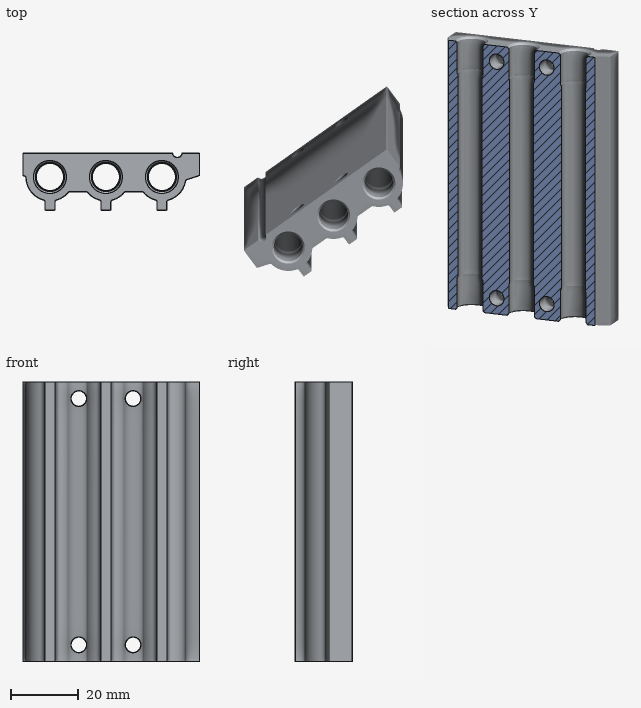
import cadquery as cq
import math

width = 52.1
depth = 16.8
length = 82.5
back_y = depth / 2

bore_pitch = 16.5
bore_offset = 7.0
bore_diameter = 8.0
port_diameter = 8.6
port_depth = 9.9
port_chamfer = 0.6
middle_bore_x = -1.6
bore_y = back_y - bore_offset
bore_xs = [middle_bore_x + step * bore_pitch for step in (-1, 0, 1)]

lobe_radius = 7.1
lobe_root_height = 1.65
web_depth = 11.4
side_depth = 6.6
lip_angle = 18.0
lip_inset = 2.5

rib_width = 3.0
rib_tip_radius = 0.25

corner_radius = 0.25
root_radius = 0.5

cross_diameter = 4.5
cross_pitch_x = 16.0
cross_end_distance = 4.95

groove_radius = 1.4
groove_axis_behind = 0.2
groove_x = 19.5


def prism(sketch):
    return sketch.extrude(length)


def slab():
    """Flat slab that carries the lobes, its underside sloping from each side into an end lobe."""
    left, right = -width / 2, width / 2
    side_y = back_y - side_depth
    web_y = back_y - web_depth
    slope = math.tan(math.radians(lip_angle))
    left_lip_x = bore_xs[0] - lobe_radius + lip_inset
    right_lip_x = bore_xs[2] + lobe_radius - lip_inset
    outline = [
        (left, back_y),
        (right, back_y),
        (right, side_y),
        (right_lip_x, side_y - slope * (right - right_lip_x)),
        (bore_xs[2], web_y),
        (bore_xs[0], web_y),
        (left_lip_x, side_y - slope * (left_lip_x - left)),
        (left, side_y),
    ]
    return prism(cq.Workplane("XY").polyline(outline).close())


def lobe(x):
    """Round lobe in front of the slab, concentric with the bore at x."""
    half_chord = math.sqrt(lobe_radius**2 - lobe_root_height**2)
    return prism(
        cq.Workplane("XY")
        .center(x, bore_y)
        .moveTo(-half_chord, lobe_root_height)
        .threePointArc((0, -lobe_radius), (half_chord, lobe_root_height))
        .close()
    )


def rib(x):
    height = bore_y + back_y
    return prism(cq.Workplane("XY").center(x, bore_y - height / 2).rect(rib_width, height))


def vertical_edges(body, is_wanted):
    """Lengthwise edges of the profile whose (x, y) position is wanted."""
    picked = []
    for edge in body.edges("|Z").vals():
        center = edge.Center()
        if is_wanted(center.x, center.y):
            picked.append(edge)
    return body.newObject(picked)


def is_rib_tip(x, y):
    return y < -back_y + rib_tip_radius


def is_block_corner(x, y):
    return abs(x) > width / 2 - corner_radius


def is_root(x, y):
    return not is_rib_tip(x, y) and not is_block_corner(x, y)


body = slab()
for x in bore_xs:
    body = body.union(lobe(x)).union(rib(x))
body = body.clean()

body = vertical_edges(body, is_root).fillet(root_radius)
body = vertical_edges(body, is_rib_tip).fillet(rib_tip_radius)
body = vertical_edges(body, is_block_corner).fillet(corner_radius)


def bore_cutter():
    """Through bore with a wider, chamfered port at each end, as a turned profile."""
    bore_r = bore_diameter / 2
    port_r = port_diameter / 2
    mouth_r = port_r + port_chamfer
    profile = [
        (0, 0),
        (mouth_r, 0),
        (port_r, port_chamfer),
        (port_r, port_depth),
        (bore_r, port_depth),
        (bore_r, length - port_depth),
        (port_r, length - port_depth),
        (port_r, length - port_chamfer),
        (mouth_r, length),
        (0, length),
    ]
    return cq.Workplane("XZ").polyline(profile).close().revolve(360, (0, 0, 0), (0, 1, 0))


for x in bore_xs:
    body = body.cut(bore_cutter().translate((x, bore_y, 0)))

cross_points = [
    (middle_bore_x + side * cross_pitch_x / 2, z)
    for side in (-1, 1)
    for z in (cross_end_distance, length - cross_end_distance)
]
cross_holes = (
    cq.Workplane("XZ")
    .pushPoints(cross_points)
    .circle(cross_diameter / 2)
    .extrude(depth, both=True)
)
body = body.cut(cross_holes)

groove = prism(
    cq.Workplane("XY").center(groove_x, back_y + groove_axis_behind).circle(groove_radius)
)
result = body.cut(groove)